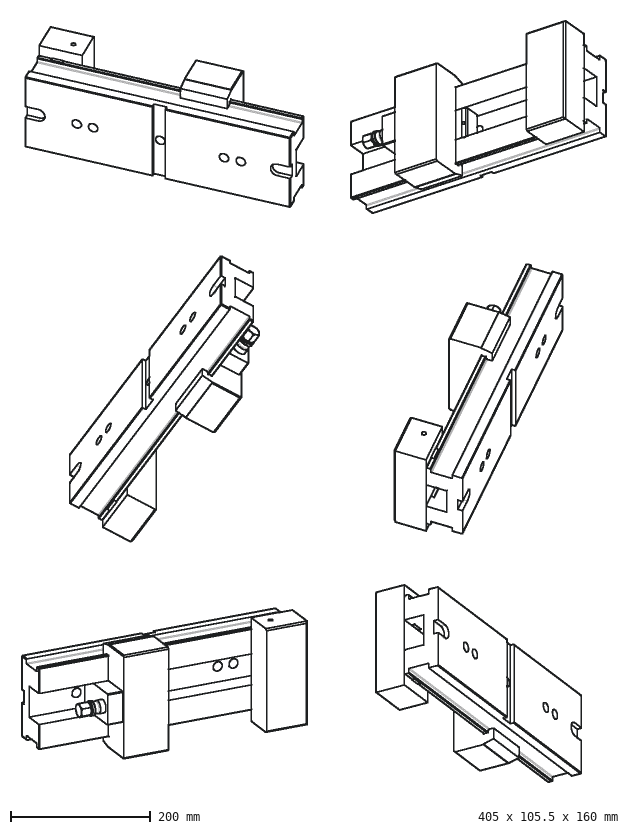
import cadquery as cq
import math


BASE_LENGTH = 405
BASE_HEIGHT = 56.0
BASE_HALF_WIDTH = 62.8
FLANGE_TOP = 15.8
RAIL_BOTTOM = 48.5
WAIST_HALF_WIDTH = 55.5
WAIST_FILLET = 1.2
EDGE_CHAMFER = 1.0
END_CHAMFER = 1.2

GUIDE_WIDTH = 47.8
GUIDE_BOTTOM = 24.5

CROSS_GROOVE_X = 204.0
CROSS_GROOVE_WIDTH = 19.5
CROSS_GROOVE_DEPTH = 6.0

END_SLOT_LENGTH = 30.0
END_SLOT_WIDTH = 20.5
END_SLOT_DEPTH = 7.3

BED_HOLE_DIAMETER = 14.0
BED_HOLES_X = [78.5, 103.5, CROSS_GROOVE_X, 303.8, 329.3]

KEY_X = 20.0
KEY_WIDTH = 18.2
KEY_DEPTH = 5.0
KEYWAY_DEPTH = 5.3

JAW_TOP = 105.5
JAW_WIDTH = 160.0
JAW_HALF_WIDTH = JAW_WIDTH / 2
JAW_TOP_CHAMFER = 2.5

FIXED_JAW_LENGTH = 66.0
STOP_HOLE_X = 45.0
STOP_HOLE_Y = 76.0
STOP_HOLE_DIAMETER = 6.0
STOP_HOLE_DEPTH = 12
STOP_HOLE_TIP = 2.0

MOVABLE_JAW_X = 222.5
MOVABLE_JAW_LENGTH = 71.5
CLAW_BOTTOM = 39.0
CLAW_STEP = 1.0
CLAW_BOTTOM_HALF_WIDTH = 75.0
CLAW_TIP_HALF_WIDTH = 58.0
CLAW_RELIEF = 1.5
BACK_CHAMFER = 1.2

SLIDE_X = 204.5
SLIDE_BOTTOM = 28.0
NUT_X = MOVABLE_JAW_X + MOVABLE_JAW_LENGTH
NUT_END_X = 318.0
NUT_TOP = 102.0
RAMP_STEP = 2.5
RAMP_RUN = 5.0
RAMP_HOLE_DIAMETER = 4
RAMP_HOLE_DEPTH = 8
NUT_CHAMFER = 1.2

SPINDLE_Y = 86.3
SLEEVE_DIAMETER = 20.0
SLEEVE_END_X = 326.5
NECK_DIAMETER = 18.2
NECK_X = 329.0
COLLAR_DIAMETER = 22.0
COLLAR_X = 335.0
COLLAR_END_X = 339.0
HEX_ACROSS_FLATS = 19.0
HEX_X = 341.0
HEX_END_X = 357.0
HEX_CHAMFER = 1.5


def box(x_start, x_end, y_start, y_end, z_start, z_end):
    return (
        cq.Workplane("XY", origin=(x_start, y_start, z_start))
        .box(x_end - x_start, y_end - y_start, z_end - z_start, centered=False)
    )


def make_base():
    base = box(0, BASE_LENGTH, 0, BASE_HEIGHT, -BASE_HALF_WIDTH, BASE_HALF_WIDTH)
    base = base.edges("|X").chamfer(EDGE_CHAMFER)
    base = base.faces(">X").chamfer(END_CHAMFER)

    waist = box(0, BASE_LENGTH, FLANGE_TOP, RAIL_BOTTOM, WAIST_HALF_WIDTH, BASE_HALF_WIDTH)
    waist = waist.faces("<Z").edges("|X").fillet(WAIST_FILLET)
    base = base.cut(waist).cut(waist.mirror("XY"))

    for side in (1, -1):
        bevel = (
            cq.Workplane("YZ")
            .polyline(
                [
                    (RAIL_BOTTOM, side * BASE_HALF_WIDTH),
                    (RAIL_BOTTOM + EDGE_CHAMFER, side * BASE_HALF_WIDTH),
                    (RAIL_BOTTOM, side * (BASE_HALF_WIDTH - EDGE_CHAMFER)),
                ]
            )
            .close()
            .extrude(BASE_LENGTH)
        )
        base = base.cut(bevel)

    half_guide = GUIDE_WIDTH / 2
    base = base.cut(box(0, BASE_LENGTH, GUIDE_BOTTOM, BASE_HEIGHT, -half_guide, half_guide))

    base = base.cut(
        box(
            KEY_X, KEY_X + KEY_WIDTH, BASE_HEIGHT - KEYWAY_DEPTH, BASE_HEIGHT,
            -BASE_HALF_WIDTH, BASE_HALF_WIDTH,
        )
    )

    half_groove = CROSS_GROOVE_WIDTH / 2
    base = base.cut(
        box(
            CROSS_GROOVE_X - half_groove, CROSS_GROOVE_X + half_groove, 0, CROSS_GROOVE_DEPTH,
            -BASE_HALF_WIDTH, BASE_HALF_WIDTH,
        )
    )

    underside = cq.Workplane("XZ")
    for end_x in (0, BASE_LENGTH):
        slot = (
            underside.center(end_x, 0)
            .slot2D(2 * END_SLOT_LENGTH, END_SLOT_WIDTH)
            .extrude(-END_SLOT_DEPTH)
        )
        base = base.cut(slot)

    holes = (
        underside.pushPoints([(x, 0) for x in BED_HOLES_X])
        .circle(BED_HOLE_DIAMETER / 2)
        .extrude(-GUIDE_BOTTOM)
    )
    return base.cut(holes)


def make_fixed_jaw():
    jaw = box(0, FIXED_JAW_LENGTH, BASE_HEIGHT, JAW_TOP, -JAW_HALF_WIDTH, JAW_HALF_WIDTH)
    jaw = jaw.faces(">Y").edges("<X or <Z or >Z").chamfer(JAW_TOP_CHAMFER)

    stop_hole = (
        cq.Workplane("XZ", origin=(STOP_HOLE_X, STOP_HOLE_Y, JAW_HALF_WIDTH))
        .polyline(
            [
                (0, 0),
                (STOP_HOLE_DIAMETER / 2, 0),
                (STOP_HOLE_DIAMETER / 2, -STOP_HOLE_DEPTH),
                (0, -STOP_HOLE_DEPTH - STOP_HOLE_TIP),
            ]
        )
        .close()
        .revolve(360, (0, 0, 0), (0, 1, 0))
    )
    jaw = jaw.cut(stop_hole)

    for z_start, z_end in (
        (-BASE_HALF_WIDTH, -GUIDE_WIDTH / 2),
        (GUIDE_WIDTH / 2, BASE_HALF_WIDTH),
    ):
        key = box(KEY_X, KEY_X + KEY_WIDTH, BASE_HEIGHT - KEY_DEPTH, BASE_HEIGHT, z_start, z_end)
        jaw = jaw.union(key)
    return jaw


def make_claw(side):
    """Tapered claw that hooks under one rail; side is +1 or -1 along Z."""
    outline = [
        (BASE_HEIGHT, JAW_HALF_WIDTH - CLAW_STEP),
        (CLAW_BOTTOM, CLAW_BOTTOM_HALF_WIDTH),
        (CLAW_BOTTOM, CLAW_TIP_HALF_WIDTH),
        (RAIL_BOTTOM - CLAW_RELIEF, CLAW_TIP_HALF_WIDTH),
        (RAIL_BOTTOM, CLAW_TIP_HALF_WIDTH + CLAW_RELIEF),
        (RAIL_BOTTOM, BASE_HALF_WIDTH),
        (BASE_HEIGHT, BASE_HALF_WIDTH),
    ]
    return (
        cq.Workplane("YZ", origin=(MOVABLE_JAW_X, 0, 0))
        .polyline([(y, side * z) for y, z in outline])
        .close()
        .extrude(MOVABLE_JAW_LENGTH)
    )


def make_movable_jaw():
    jaw = box(MOVABLE_JAW_X, NUT_X, BASE_HEIGHT, JAW_TOP, -JAW_HALF_WIDTH, JAW_HALF_WIDTH)
    jaw = jaw.faces(">Y").edges("<Z or >Z").chamfer(JAW_TOP_CHAMFER)
    jaw = jaw.faces(">X").edges("<Z or >Z").chamfer(BACK_CHAMFER)
    for side in (1, -1):
        jaw = jaw.union(make_claw(side))
    return jaw


def cylinder(diameter, x_start, x_end):
    return (
        cq.Workplane("YZ", origin=(x_start, SPINDLE_Y, 0))
        .circle(diameter / 2)
        .extrude(x_end - x_start)
    )


def make_spindle():
    """Sleeve, neck and collar turned in one profile, then the hexagon drive."""
    profile = [
        (NUT_END_X, 0),
        (NUT_END_X, SLEEVE_DIAMETER / 2),
        (SLEEVE_END_X, SLEEVE_DIAMETER / 2),
        (NECK_X, NECK_DIAMETER / 2),
        (COLLAR_X, NECK_DIAMETER / 2),
        (COLLAR_X, COLLAR_DIAMETER / 2),
        (COLLAR_END_X, COLLAR_DIAMETER / 2),
        (COLLAR_END_X, HEX_ACROSS_FLATS / 2),
        (HEX_X, HEX_ACROSS_FLATS / 2),
        (HEX_X, 0),
    ]
    shaft = (
        cq.Workplane("XY", origin=(0, SPINDLE_Y, 0))
        .polyline(profile)
        .close()
        .revolve(360, (0, 0, 0), (1, 0, 0))
    )

    across_corners = HEX_ACROSS_FLATS / math.cos(math.pi / 6)
    hexagon = (
        cq.Workplane("YZ", origin=(HEX_X, SPINDLE_Y, 0))
        .transformed(rotate=(0, 0, 90))
        .polygon(6, across_corners)
        .extrude(HEX_END_X - HEX_X)
    )
    blank = cylinder(across_corners, HEX_X, HEX_END_X).faces("<X or >X").chamfer(HEX_CHAMFER)
    return shaft.union(hexagon.intersect(blank))


def make_spindle_slide():
    """Slide in the guide slot, its upright nut block behind the movable jaw, and the spindle."""
    outline = [
        (SLIDE_X, SLIDE_BOTTOM),
        (NUT_END_X, SLIDE_BOTTOM),
        (NUT_END_X, NUT_TOP),
        (NUT_X, NUT_TOP),
        (NUT_X, BASE_HEIGHT),
        (SLIDE_X + RAMP_STEP + RAMP_RUN, BASE_HEIGHT),
        (SLIDE_X + RAMP_STEP, BASE_HEIGHT - RAMP_STEP),
        (SLIDE_X, BASE_HEIGHT - 2 * RAMP_STEP),
    ]
    slide = (
        cq.Workplane("XY", origin=(0, 0, -GUIDE_WIDTH / 2))
        .polyline(outline)
        .close()
        .extrude(GUIDE_WIDTH)
    )
    slide = slide.faces(">Y").edges("|X").chamfer(NUT_CHAMFER)

    ramp_hole_x = SLIDE_X + RAMP_STEP + RAMP_RUN / 2
    ramp_hole = (
        cq.Workplane("XZ", origin=(ramp_hole_x, BASE_HEIGHT, 0))
        .circle(RAMP_HOLE_DIAMETER / 2)
        .extrude(RAMP_HOLE_DEPTH)
    )
    slide = slide.cut(ramp_hole)
    return slide.union(make_spindle())


base = make_base()
fixed_jaw = make_fixed_jaw()
movable_jaw = make_movable_jaw()
spindle_slide = make_spindle_slide()

result = cq.Compound.makeCompound(
    [base.val(), fixed_jaw.val(), movable_jaw.val(), spindle_slide.val()]
)